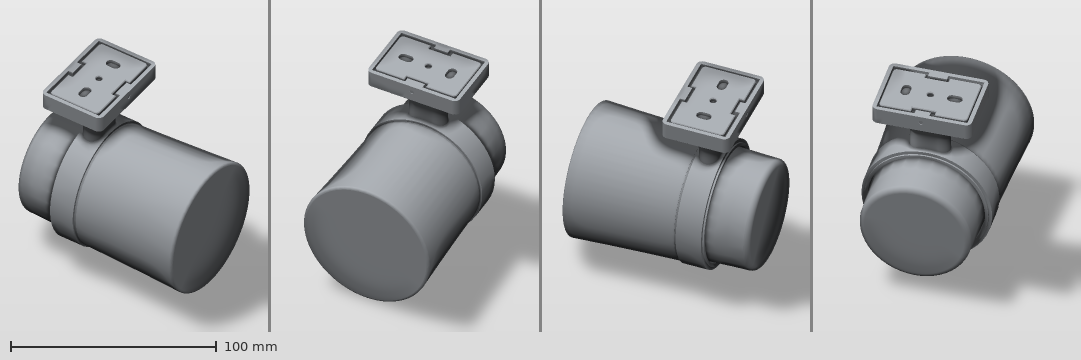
import cadquery as cq

rear_x = -29.5
front_x = 65.4
rear_end_radius = 28.0
joint_radius = 29.4
rear_edge_fillet = 2.9
front_start_radius = 32.0
front_end_radius = 34.5
front_flare_sag = 0.2
front_edge_fillet = 1.3

collar_width = 13.2
collar_radius = 32.9
liner_rear_x = -7.5
joint_x = 7.9
liner_rear_radius = 31.2
liner_front_radius = 31.8
liner_bore_radius = 29.5

stem_length_y = 20.3
stem_width_x = 10.0
stem_foot_fillet = 1.0

canopy_length_x = 35.0
canopy_length_y = 50.0
canopy_height = 9.05
canopy_corner_radius = 3.0
canopy_bottom_chamfer = 0.3
canopy_top = 64.99
canopy_bottom = canopy_top - canopy_height

recess_depth = 2.0
recess_wall = 2.1
recess_fillet = 0.7
recess_length_x = canopy_length_x - 2 * recess_wall
recess_length_y = canopy_length_y - 2 * recess_wall
recess_floor = canopy_top - recess_depth

tab_tip_x = 12.8
tab_widths = {-1: 7.6, 1: 9.5}

plate_gap_x = 1.4
plate_gap_y = recess_fillet
plate_length_x = recess_length_x - 2 * plate_gap_x
plate_length_y = recess_length_y - 2 * plate_gap_y
plate_corner_radius = 2.0
plate_edge_chamfer = 0.4
notch_floor_x = 11.4
notch_width = 11.8
slot_length = 7.7
slot_width = 4.7
slot_offset_y = 12.3
thread_diameter = 3.3
thread_mouth_diameter = 4.1
thread_mouth_angle = 90

screw_radius = 2.0
screw_length = 5.0
screw_drop = 3.5
socket_diameter = 2.5
socket_depth = 0.3


def turned(profile):
    """Revolve a closed profile, drawn on the -Y side, about the lamp axis."""
    return profile.close().revolve(360, (0, 0, 0), (1, 0, 0))


def tapered_ring_blank():
    """The solid cone that fills the bore of the collar."""
    return turned(
        cq.Workplane("XY")
        .moveTo(liner_rear_x, 0)
        .lineTo(liner_rear_x, -liner_rear_radius)
        .lineTo(joint_x, -liner_front_radius)
        .lineTo(joint_x, 0)
    )


def make_rear_housing():
    housing = turned(
        cq.Workplane("XY")
        .moveTo(rear_x, 0)
        .lineTo(rear_x, -rear_end_radius)
        .lineTo(joint_x, -joint_radius)
        .lineTo(joint_x, 0)
    )
    return housing.faces("<X").edges().fillet(rear_edge_fillet)


def make_liner():
    bore = cq.Workplane("YZ", origin=(liner_rear_x, 0, 0)).circle(liner_bore_radius)
    return tapered_ring_blank().cut(bore.extrude(joint_x - liner_rear_x))


def make_front_housing():
    middle_x = (joint_x + front_x) / 2
    middle_radius = (front_start_radius + front_end_radius) / 2 - front_flare_sag
    housing = turned(
        cq.Workplane("XY")
        .moveTo(joint_x, 0)
        .lineTo(joint_x, -front_start_radius)
        .threePointArc((middle_x, -middle_radius), (front_x, -front_end_radius))
        .lineTo(front_x, 0)
    )
    return housing.faces(">X").edges().fillet(front_edge_fillet)


def stem_blank():
    return cq.Workplane("XY").slot2D(stem_length_y, stem_width_x, 90).extrude(recess_floor)


def make_bracket():
    """Collar and stem in one piece."""
    collar = (
        cq.Workplane("YZ", origin=(-collar_width / 2, 0, 0))
        .circle(collar_radius)
        .extrude(collar_width)
    )
    foot = cq.selectors.BoxSelector(
        (-stem_width_x, -stem_length_y, collar_radius / 2),
        (stem_width_x, stem_length_y, collar_radius + stem_foot_fillet),
    )
    bracket = collar.union(stem_blank())
    bracket = bracket.edges(foot).fillet(stem_foot_fillet)
    return bracket.cut(tapered_ring_blank())


def recess_blank():
    """The hollow in the canopy: a pocket with a tab left standing on each X side."""
    top = cq.Workplane("XY", origin=(0, 0, canopy_top))
    pocket = top.rect(recess_length_x, recess_length_y).extrude(-recess_depth)
    for side, width in tab_widths.items():
        length = canopy_length_x / 2 - tab_tip_x
        tab = top.center(side * (tab_tip_x + length / 2), 0).rect(length, width)
        pocket = pocket.cut(tab.extrude(-recess_depth))
    return pocket.faces("<Z").edges().fillet(recess_fillet)


def screw_blank(side):
    outer_end = cq.Workplane("YZ", origin=(side * canopy_length_x / 2, 0, canopy_top - screw_drop))
    return outer_end.circle(screw_radius).extrude(-side * screw_length)


def make_canopy():
    canopy = (
        cq.Workplane("XY", origin=(0, 0, canopy_bottom))
        .rect(canopy_length_x, canopy_length_y)
        .extrude(canopy_height)
        .edges("|Z")
        .fillet(canopy_corner_radius)
        .faces("<Z")
        .chamfer(canopy_bottom_chamfer)
    )
    canopy = canopy.cut(recess_blank()).cut(stem_blank())
    for side in tab_widths:
        canopy = canopy.cut(screw_blank(side))
    return canopy


def make_plate():
    base = cq.Workplane("XY", origin=(0, 0, recess_floor))
    plate = base.rect(plate_length_x, plate_length_y).extrude(recess_depth)
    plate = plate.edges("|Z").fillet(plate_corner_radius)
    notch_length = plate_length_x / 2
    for side in tab_widths:
        notch = base.center(side * (notch_floor_x + notch_length / 2), 0)
        plate = plate.cut(notch.rect(notch_length, notch_width).extrude(recess_depth))
    plate = plate.faces(">Z").chamfer(plate_edge_chamfer)
    for offset, angle in ((slot_offset_y, 0), (-slot_offset_y, 90)):
        slot = base.center(0, offset).slot2D(slot_length, slot_width, angle)
        plate = plate.cut(slot.extrude(recess_depth))
    top = plate.faces(">Z").workplane(origin=(0, 0, canopy_top))
    return top.cskHole(thread_diameter, thread_mouth_diameter, thread_mouth_angle)


def make_set_screw(side):
    outer_end = cq.Workplane("YZ", origin=(side * canopy_length_x / 2, 0, canopy_top - screw_drop))
    socket = outer_end.polygon(6, socket_diameter).extrude(-side * socket_depth)
    return screw_blank(side).cut(socket)


rear_housing = make_rear_housing()
liner = make_liner()
front_housing = make_front_housing()
bracket = make_bracket()
canopy = make_canopy()
mounting_plate = make_plate()
set_screws = [make_set_screw(side) for side in tab_widths]

result = cq.Compound.makeCompound([
    rear_housing.val(),
    liner.val(),
    front_housing.val(),
    bracket.val(),
    canopy.val(),
    mounting_plate.val(),
    *[screw.val() for screw in set_screws],
])